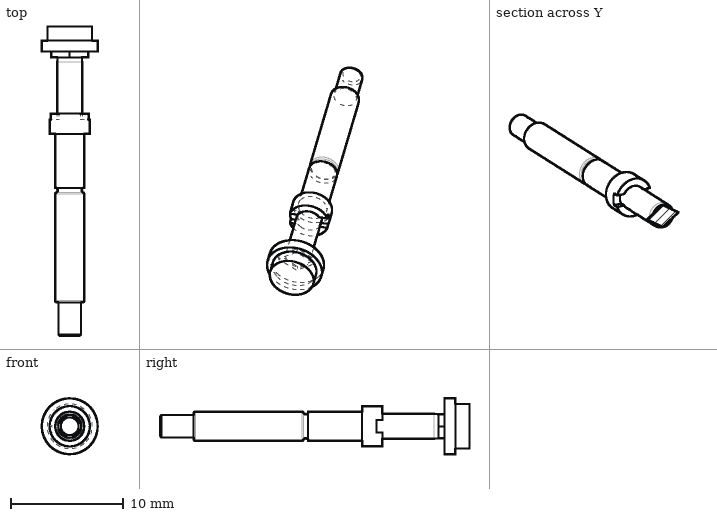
import cadquery as cq
import math

total_length = 27.6

head_diameter = 4.0
head_length = 1.27
flange_diameter = 5.0
flange_length = 1.0

neck_width = 3.3
neck_height = 2.15
neck_length = 0.5

shaft_diameter = 2.24
shaft_taper_length = 0.45
shaft_taper_depth = 0.03

collar_diameter = 3.6
collar_top = 19.82
collar_length = 1.8
slot_width = 1.1
slot_depth = 0.52

barrel_diameter = 2.6
barrel_end = 3.0
edge_radius = 0.17
groove_centre = 13.0
groove_radius = 0.22

tip_diameter = 2.05
tip_chamfer_depth = 0.22
tip_chamfer_length = 0.17

flange_top = total_length - head_length
flange_bottom = flange_top - flange_length
shaft_top = flange_bottom - neck_length
collar_bottom = collar_top - collar_length


def cylinder(diameter, start, end):
    """Solid cylinder on the Y axis between two stations."""
    return cq.Workplane("XZ", origin=(0, start, 0)).circle(diameter / 2).extrude(start - end)


def make_head():
    button = cylinder(head_diameter, flange_top, total_length)
    flange = cylinder(flange_diameter, flange_bottom, flange_top)
    return button.union(flange)


def make_neck():
    half_width = neck_width / 2
    half_height = neck_height / 2
    corners = [(half_width, 0), (0, half_height), (-half_width, 0), (0, -half_height)]
    return cq.Workplane("XZ", origin=(0, shaft_top, 0)).polyline(corners).close().extrude(-neck_length)


def make_stem():
    """Shaft, barrel with its groove, and tip, revolved as one profile of (radius, station) points."""
    shaft_radius = shaft_diameter / 2
    barrel_radius = barrel_diameter / 2
    tip_radius = tip_diameter / 2
    arc_offset = edge_radius * (1 - math.sqrt(0.5))

    centre_distance = groove_radius + edge_radius
    blend_angle = math.asin(edge_radius / centre_distance)
    edge_centre_radius = barrel_radius - edge_radius
    edge_centre = groove_centre - centre_distance * math.cos(blend_angle)
    blend_point = (
        barrel_radius - groove_radius * math.sin(blend_angle),
        groove_centre - groove_radius * math.cos(blend_angle),
    )
    edge_mid_angle = (math.pi / 2 - blend_angle) / 2
    edge_mid_point = (
        edge_centre_radius + edge_radius * math.cos(edge_mid_angle),
        edge_centre + edge_radius * math.sin(edge_mid_angle),
    )

    profile = (
        cq.Workplane("XY")
        .lineTo(tip_radius - tip_chamfer_depth, 0)
        .lineTo(tip_radius, tip_chamfer_length)
        .lineTo(tip_radius, barrel_end)
        .lineTo(barrel_radius - edge_radius, barrel_end)
        .threePointArc(
            (barrel_radius - arc_offset, barrel_end + arc_offset),
            (barrel_radius, barrel_end + edge_radius),
        )
        .lineTo(barrel_radius, edge_centre)
        .threePointArc(edge_mid_point, blend_point)
        .threePointArc(
            (barrel_radius - groove_radius, groove_centre),
            (barrel_radius, groove_centre + groove_radius),
        )
        .lineTo(barrel_radius, collar_bottom)
        .lineTo(shaft_radius, collar_bottom)
        .lineTo(shaft_radius, shaft_top - shaft_taper_length)
        .lineTo(shaft_radius - shaft_taper_depth, shaft_top)
        .lineTo(0, shaft_top)
        .close()
    )
    return profile.revolve(360, (0, 0, 0), (0, 1, 0))


def make_collar():
    collar = cylinder(collar_diameter, collar_bottom, collar_top)
    slot = cq.Workplane("XY").box(collar_diameter, 2 * slot_depth, slot_width).translate((0, collar_top, 0))
    return collar.cut(slot)


result = make_stem().union(make_collar()).union(make_neck()).union(make_head())